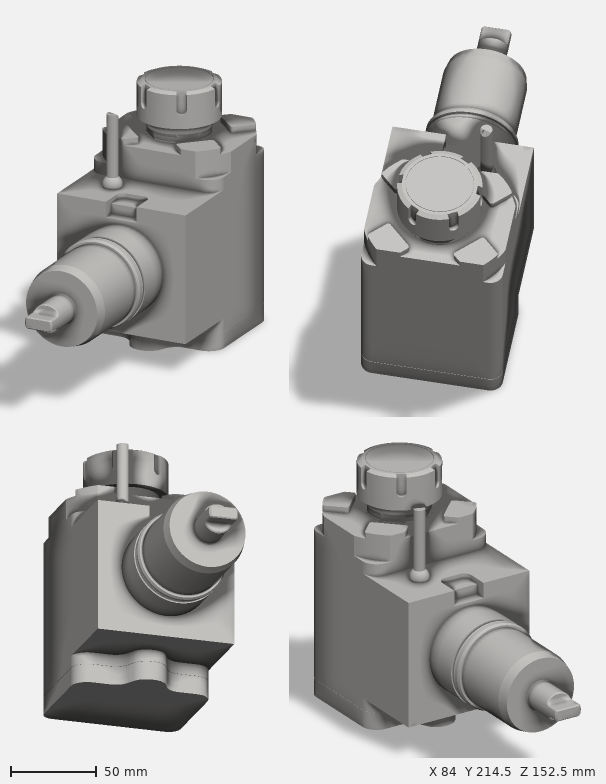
import cadquery as cq
import math


overall_length = 214.5
margin = 0.2

body_half_width = 42.0
block_half_height = 80.0 / 2
back_y = 106.8
column_front_y = 40.0
column_front_radius = 9.9
column_back_radius = 7.3
column_bottom_z = -58.5
column_top_z = 60.7
nose_front_y = 24.5
nose_front_half_width = 7.0
nose_root_half_width = 14.8
nose_blend_radius = 10.0
joint_z = -47.6
joint_width = 0.5
joint_depth = 0.2

spindle_y = 74.9
head_radius = 45.0
head_bottom_z = 47.8
pad_top_z = 64.5
front_pad_distance = 28.5
back_pad_distance = 28.0
pad_outer_side = 11.5
front_pad_inner_side = 11.5
back_pad_inner_side = 10.0
pad_corner_radius = 1.7

slot_half_width = 10.0
slot_length = 18.0
slot_depth = 3.5
slot_corner_radius = 4.7
slot_step_length = 7.0
slot_step_depth = 9.9

flange_radius = 27.5
relief_radius = 54.7 / 2
relief_length = 2.0
ring_groove_start = 23.4
ring_groove_end = 27.5
ring_groove_radius = 25.7
seal_radius = 1.3
seal_centre = 25.3
collar_end = 31.3
collar_chamfer_start = 29.5
collar_chamfer = 0.9
shank_radius = 50.0 / 2
taper_start = 70.4
shank_end = 77.0
shank_end_radius = 23.4
drive_radius = 18.0 / 2
drive_flare = 0.6
drive_end = overall_length - back_y
drive_tip_chamfer = 1.0
tang_start = 95.7
tang_half_thickness = 3.6
tang_fillet = 2.5
tang_mouth_chamfer = 0.9
tang_edge_chamfer = 0.6

nut_radius = 50.0 / 2
nut_rim_radius = 22.0
nut_bottom_z = 71.6
nut_chamfer_z = 92.7
nut_top_z = 94.0
collet_diameter = 39.7
collet_bore_diameter = 40.3
collet_gap_depth = 0.5
nut_slot_count = 6
nut_slot_width = 6.0
nut_slot_bottom_z = 80.2
neck_radius = 19.7
neck_bottom_z = 66.3
wrench_radius = 19.0
wrench_chamfer_height = 2.0
wrench_flat_distance = 17.8
wrench_flat_top_z = 65.9
wrench_base_height = 0.9
wrench_base_land = 0.2

nozzle_x = -18.5
nozzle_y = 24.9
nozzle_radius = 7.0 / 2
nozzle_top_z = 85.4
ball_radius = 6.0
ball_centre_z = 41.6
bevel_offset = 0.6
outlet_diameter = 4.0
outlet_depth = 3.2


def box(x_min, x_max, y_min, y_max, z_min, z_max):
    """Axis-aligned box between two opposite corners."""
    size = (x_max - x_min, y_max - y_min, z_max - z_min)
    return cq.Workplane("XY").box(*size, centered=False).translate((x_min, y_min, z_min))


def column_prism(bottom_z, top_z, inset=0.0):
    """Rounded rectangular column, its sides moved inward by the inset."""
    half_width = body_half_width - inset
    prism = box(-half_width, half_width, column_front_y + inset, back_y - inset, bottom_z, top_z)
    prism = prism.edges("|Z and <Y").fillet(column_front_radius - inset)
    return prism.edges("|Z and >Y").fillet(column_back_radius - inset)


def flange_prism(bottom_z, top_z, inset=0.0):
    """Column with a tapered, blended nose on its front side."""
    root_y = column_front_y + inset
    front_y = nose_front_y + inset
    root = nose_root_half_width - inset
    front = nose_front_half_width - inset
    nose = (
        cq.Workplane("XY")
        .workplane(offset=bottom_z)
        .polyline([(-root, root_y), (-front, front_y), (front, front_y), (root, root_y),
                   (root, spindle_y), (-root, spindle_y)])
        .close()
        .extrude(top_z - bottom_z)
    )
    middle_z = (bottom_z + top_z) / 2
    prism = column_prism(bottom_z, top_z, inset).union(nose)
    for side in (-1, 1):
        for x, y, radius in (
            (side * front, front_y, nose_blend_radius - inset),
            (side * root, root_y, nose_blend_radius + inset),
        ):
            prism = prism.edges(cq.selectors.NearestToPointSelector((x, y, middle_z))).fillet(radius)
    return prism


def head_prism(bottom_z, top_z):
    """Column outline trimmed by the head circle, with its front and back corners rounded."""
    disc = (
        cq.Workplane("XY")
        .workplane(offset=bottom_z)
        .center(0, spindle_y)
        .circle(head_radius)
        .extrude(top_z - bottom_z)
    )
    sides = box(-body_half_width, body_half_width, column_front_y, back_y, bottom_z, top_z)
    return disc.intersect(sides).edges("|Z and (<Y or >Y)").fillet(pad_corner_radius)


def make_pad(direction, distance, left_side, right_side):
    """Raised pad pointing away from the spindle axis in the given direction (degrees).

    The distance is from the axis to its inner face; the sides are measured from its centre line.
    """
    pad = box(distance, head_radius + margin, -right_side, left_side, column_top_z, pad_top_z)
    pad = pad.rotate((0, 0, 0), (0, 0, 1), direction).translate((0, spindle_y, 0))
    disc = cq.Workplane("XY").circle(head_radius).extrude(pad_top_z).translate((0, spindle_y, 0))
    sides = box(-body_half_width, body_half_width, column_front_y, back_y, column_top_z, pad_top_z)
    return pad.intersect(disc).intersect(sides).edges("|Z").fillet(pad_corner_radius)


def make_column():
    """Column with its round head and the four pads."""
    column = column_prism(-block_half_height, head_bottom_z)
    column = column.union(head_prism(head_bottom_z, column_top_z))
    pads = [
        make_pad(45, back_pad_distance, back_pad_inner_side, pad_outer_side),
        make_pad(135, back_pad_distance, pad_outer_side, back_pad_inner_side),
        make_pad(225, front_pad_distance, front_pad_inner_side, pad_outer_side),
        make_pad(315, front_pad_distance, pad_outer_side, front_pad_inner_side),
    ]
    for pad in pads:
        column = column.union(pad)
    return column


def make_flange():
    """Bottom flange with a fine joint groove around it."""
    lower = flange_prism(column_bottom_z, joint_z)
    joint = flange_prism(joint_z, joint_z + joint_width, joint_depth)
    upper = flange_prism(joint_z + joint_width, -block_half_height)
    return lower.union(joint).union(upper)


def cut_key_slot(body):
    """Round-ended key slot in the block top, with a deeper step at the front face."""
    floor_z = block_half_height - slot_depth
    slot = box(-slot_half_width, slot_half_width, 0, slot_length, floor_z, block_half_height)
    slot = slot.edges("|Z and >Y").fillet(slot_corner_radius)
    step_z = block_half_height - slot_step_depth
    step = box(-slot_half_width, slot_half_width, 0, slot_step_length, step_z, block_half_height)
    return body.cut(slot).cut(step)


def make_shank():
    """Turned shank with relief, seal ring groove, collar, tapered end and drive shaft."""
    outline = [
        (0, 0),
        (relief_radius, 0),
        (relief_radius, -relief_length),
        (flange_radius, -relief_length),
        (flange_radius, -ring_groove_start),
        (ring_groove_radius, -ring_groove_start),
        (ring_groove_radius, -ring_groove_end),
        (flange_radius, -ring_groove_end),
        (flange_radius, -collar_chamfer_start),
        (flange_radius - collar_chamfer, -collar_end),
        (shank_radius, -collar_end),
        (shank_radius, -taper_start),
        (shank_end_radius, -shank_end),
        (drive_radius + drive_flare, -shank_end),
        (drive_radius, -shank_end - drive_flare),
        (drive_radius, -drive_end + drive_tip_chamfer),
        (drive_radius - drive_tip_chamfer, -drive_end),
        (0, -drive_end),
    ]
    shank = cq.Workplane("XY").polyline(outline).close().revolve(360, (0, 0), (0, 1))
    seal = (
        cq.Workplane("XY")
        .moveTo(0, -seal_centre + seal_radius)
        .lineTo(ring_groove_radius, -seal_centre + seal_radius)
        .threePointArc(
            (ring_groove_radius + seal_radius, -seal_centre),
            (ring_groove_radius, -seal_centre - seal_radius),
        )
        .lineTo(0, -seal_centre - seal_radius)
        .close()
        .revolve(360, (0, 0), (0, 1))
    )
    return shank.union(seal)


def cut_tang(shank):
    """Two flats with a rounded root that leave a flat drive tang."""
    root_y = -tang_start - tang_mouth_chamfer
    arc_inset = tang_fillet * (1 - math.sqrt(0.5))
    for side in (-1, 1):
        flat_z = side * tang_half_thickness
        arc_end = (root_y - tang_fillet, flat_z)
        arc_middle = (root_y - arc_inset, flat_z + side * arc_inset)
        notch = (
            cq.Workplane("YZ")
            .moveTo(-drive_end, flat_z)
            .lineTo(*arc_end)
            .threePointArc(arc_middle, (root_y, flat_z + side * tang_fillet))
            .lineTo(root_y, side * (drive_radius - tang_mouth_chamfer))
            .lineTo(-tang_start, side * drive_radius)
            .lineTo(-drive_end, side * drive_radius)
            .close()
            .extrude(drive_radius, both=True)
        )
        shank = shank.cut(notch)
    for side in (-1, 1):
        flat_edges = cq.selectors.BoxSelector(
            (-drive_radius, -drive_end - margin, side * tang_half_thickness - margin),
            (drive_radius, root_y - tang_fillet - margin, side * tang_half_thickness + margin),
        )
        shank = shank.edges(flat_edges).chamfer(tang_edge_chamfer)
    return shank


def make_nut():
    """Collet nut and its neck, turned about the spindle axis."""
    outline = [
        (0, column_top_z),
        (neck_radius, column_top_z),
        (neck_radius, column_top_z + wrench_base_land),
        (wrench_radius, column_top_z + wrench_base_height),
        (wrench_radius, neck_bottom_z - wrench_chamfer_height),
        (neck_radius, neck_bottom_z),
        (neck_radius, nut_bottom_z),
        (nut_radius, nut_bottom_z),
        (nut_radius, nut_chamfer_z),
        (nut_rim_radius, nut_top_z),
        (0, nut_top_z),
    ]
    nut = cq.Workplane("XZ").polyline(outline).close().revolve(360, (0, 0), (0, 1))
    collet_gap = (
        cq.Workplane("XY")
        .workplane(offset=nut_top_z - collet_gap_depth)
        .circle(collet_bore_diameter / 2)
        .circle(collet_diameter / 2)
        .extrude(collet_gap_depth)
    )
    nut = nut.cut(collet_gap)
    slot_half = nut_slot_width / 2
    nut_slot = (
        cq.Workplane("YZ")
        .workplane(offset=nut_rim_radius)
        .moveTo(-slot_half, nut_top_z)
        .lineTo(-slot_half, nut_slot_bottom_z + slot_half)
        .threePointArc((0, nut_slot_bottom_z), (slot_half, nut_slot_bottom_z + slot_half))
        .lineTo(slot_half, nut_top_z)
        .close()
        .extrude(nut_radius - nut_rim_radius + margin)
    )
    for index in range(nut_slot_count):
        nut = nut.cut(nut_slot.rotate((0, 0, 0), (0, 0, 1), index * 360 / nut_slot_count))
    wrench_cut = box(wrench_flat_distance, nut_radius, -nut_radius, nut_radius,
                     column_top_z + wrench_base_land, wrench_flat_top_z)
    for direction in (45, 135, 225, 315):
        nut = nut.cut(wrench_cut.rotate((0, 0, 0), (0, 0, 1), direction))
    return nut.translate((0, spindle_y, 0))


def make_ball():
    """Ball of the nozzle joint, also the shape of its socket."""
    return cq.Workplane("XY").sphere(ball_radius).translate((nozzle_x, nozzle_y, ball_centre_z))


def make_housing():
    """Block, column, flange, shank and nut in one piece, with a socket for the nozzle ball."""
    block = box(-body_half_width, body_half_width, 0, spindle_y,
                -block_half_height, block_half_height)
    body = make_column().union(make_flange()).union(block)
    body = cut_key_slot(body)
    body = body.union(cut_tang(make_shank())).union(make_nut())
    return body.cut(make_ball()).solids()


def make_nozzle():
    """Ball-mounted coolant pipe, bevelled toward the spindle, with an outlet in the bevel."""
    pipe = (
        cq.Workplane("XY")
        .workplane(offset=ball_centre_z)
        .circle(nozzle_radius)
        .extrude(nozzle_top_z - ball_centre_z)
    )
    bevel_size = nozzle_radius - bevel_offset
    bevel = (
        cq.Workplane("XZ")
        .polyline([(bevel_offset, nozzle_top_z), (nozzle_radius, nozzle_top_z),
                   (nozzle_radius, nozzle_top_z - bevel_size)])
        .close()
        .extrude(nozzle_radius, both=True)
    )
    bevel_middle = cq.Vector(nozzle_radius - bevel_size / 2, 0, nozzle_top_z - bevel_size / 2)
    outlet = cq.Workplane(
        cq.Solid.makeCylinder(outlet_diameter / 2, outlet_depth, bevel_middle, cq.Vector(-1, 0, -1))
    )
    aim = math.degrees(math.atan2(spindle_y - nozzle_y, -nozzle_x))
    pipe = pipe.cut(bevel).cut(outlet).rotate((0, 0, 0), (0, 0, 1), aim)
    return make_ball().union(pipe.translate((nozzle_x, nozzle_y, 0))).solids()


housing = make_housing()
nozzle = make_nozzle()
result = cq.Compound.makeCompound([housing.val(), nozzle.val()])